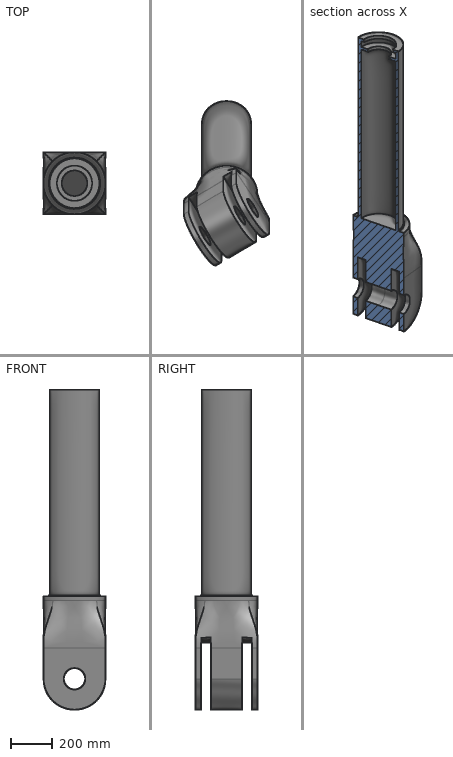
import cadquery as cq
import math

total_height = 1550.0
width = 300.0
half_width = width / 2

pin_height = half_width
pin_diameter = 102.0
block_top = width
cheek_thickness = 28.0
slot_width = 46.0
slot_height_side = 350.0
slot_height_middle = 324.0
slot_overrun = 15.0

neck_top = 530.0
rounding_power = 3
neck_steps = 8

collar_top = 550.0
ring_diameter = 250.0
ring_height = 5.0

tube_diameter = 240.0
cavity_diameter = 200.0
mouth_diameter = 170.0
mouth_lip = 17.0
gland_diameter = 124.0
gland_depth = 46.0
gland_thickness = 17.0


def cylinder(diameter, bottom, top):
    return cq.Workplane("XY").workplane(offset=bottom).circle(diameter / 2).extrude(top - bottom)


def make_fork_block():
    """Square block whose lower end is rounded about the pin axis."""
    return (
        cq.Workplane("XZ")
        .moveTo(-half_width, block_top)
        .lineTo(-half_width, pin_height)
        .threePointArc((0, 0), (half_width, pin_height))
        .lineTo(half_width, block_top)
        .close()
        .extrude(half_width, both=True)
    )


def neck_section(fraction):
    """Four-sided outline, square at 0 and round at 1, at a share of the neck height."""
    height = block_top + fraction * (neck_top - block_top)
    roundness = math.sin(fraction * math.pi / 2) ** rounding_power
    corner = half_width * (1 - roundness * (1 - math.sqrt(0.5)))
    corners = [(-corner, -corner), (corner, -corner), (corner, corner), (-corner, corner)]
    middles = [(0, -half_width), (half_width, 0), (0, half_width), (-half_width, 0)]
    plane = cq.Workplane("XY").workplane(offset=height).moveTo(*corners[0])
    for side in range(4):
        end = corners[(side + 1) % 4]
        if roundness > 0:
            plane = plane.threePointArc(middles[side], end)
        else:
            plane = plane.lineTo(*end)
    return plane.wire().val()


def make_neck():
    sections = [neck_section(step / neck_steps) for step in range(neck_steps + 1)]
    return cq.Workplane(cq.Solid.makeLoft(sections))


def make_slot(side):
    """Slot through X beside one cheek; its roof slopes up from X = 0 to both sides."""
    outer_y = side * (half_width - cheek_thickness)
    reach = half_width + slot_overrun
    roof_slope = (slot_height_side - slot_height_middle) / half_width
    end_height = slot_height_middle + roof_slope * reach
    outline = [(-reach, 0), (reach, 0), (reach, end_height), (0, slot_height_middle), (-reach, end_height)]
    return (
        cq.Workplane("XZ", origin=(0, outer_y, 0))
        .polyline(outline)
        .close()
        .extrude(side * slot_width)
    )


fork = make_fork_block().union(make_neck())
for side in (-1, 1):
    fork = fork.cut(make_slot(side))
pin_hole = (
    cq.Workplane("XZ", origin=(0, 0, pin_height))
    .circle(pin_diameter / 2)
    .extrude(half_width, both=True)
)
fork = fork.cut(pin_hole)

collar = cylinder(width, neck_top, collar_top)
ring = cylinder(ring_diameter, collar_top, collar_top + ring_height).cut(
    cylinder(cavity_diameter, collar_top, collar_top + ring_height)
)

gland_top = total_height - gland_depth
gland_bottom = gland_top - gland_thickness
tube = (
    cylinder(tube_diameter, collar_top, total_height)
    .cut(cylinder(cavity_diameter, collar_top, gland_bottom))
    .cut(cylinder(gland_diameter, gland_bottom, gland_top))
    .cut(cylinder(cavity_diameter, gland_top, total_height - mouth_lip))
    .cut(cylinder(mouth_diameter, total_height - mouth_lip, total_height))
)

result = fork.union(collar).union(ring).union(tube)